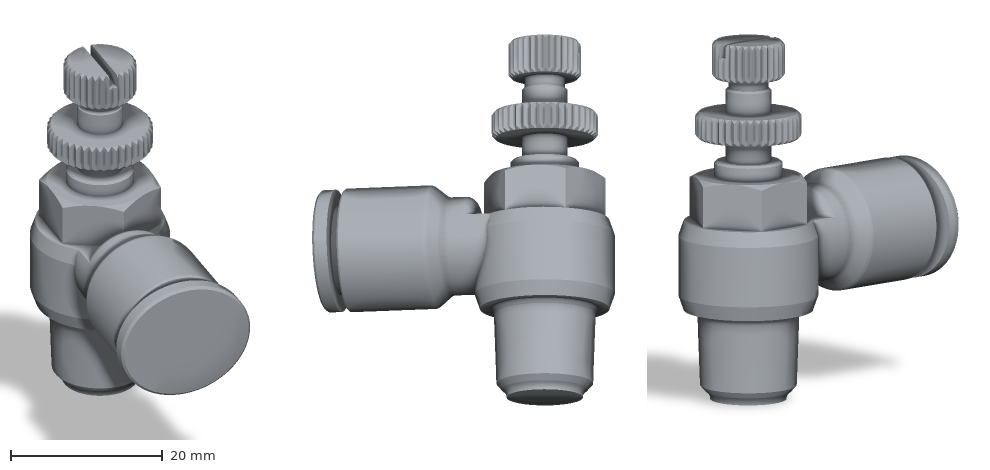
import cadquery as cq
import math

TIP_CONE_BOTTOM = 1.05
TIP_CONE_TOP = 1.85
THREAD_TOP = 11.3
BODY_BOTTOM = 11.95
BODY_TOP = 23.85
BODY_BEVEL_HEIGHT = 1.95
HEX_TOP = 29.9
COLLAR_TOP = 31.9
WHEEL_BOTTOM = 34.95
WHEEL_TOP = 38.45
STEM_TOP = 41.65
HEAD_BOTTOM = 43.0
HEAD_TOP = 48.0

TIP_RADIUS = 5.05
TIP_CONE_RADIUS = 5.65
THREAD_BOTTOM_RADIUS = 6.4
THREAD_TOP_RADIUS = 6.7
FLARE_RADIUS = 7.0
BODY_DIAMETER = 18.5
BODY_RADIUS = BODY_DIAMETER / 2
BODY_END_RADIUS = 8.55
HEX_SIDES = 6
HEX_ACROSS_FLATS = 14.05
HEX_BEVEL_ANGLE = 30
COLLAR_RADIUS = 4.5
STEM_RADIUS = 3.0
STEM_NECK_RADIUS = 2.65
EDGE_BEVEL = 0.3

HEAD_RADIUS = 4.8
HEAD_TEETH = 30
HEAD_TOOTH_HEIGHT = 0.55
WHEEL_RADIUS = 7.0
WHEEL_TEETH = 40
WHEEL_TOOTH_HEIGHT = 0.6
KNURL_BEVEL = 0.5
SLOT_WIDTH = 1.15
SLOT_DEPTH = 1.85

ARM_AXIS_Z = 20.85
ARM_NECK_RADIUS = 6.5
ARM_CONE_START = 12.6
ARM_CONE_END = 14.65
ARM_CONE_FILLET = 0.95
SOCKET_RADIUS = 8.15
SOCKET_END = 26.45
SOCKET_BEVEL = 0.25
SHOULDER_START = 8.8
SHOULDER_FILLET = 1.55

OVERALL_LENGTH = 38.8
SLEEVE_RADIUS = 5.85
RING_START = 27.55
RING_END = OVERALL_LENGTH - BODY_RADIUS
RING_HALF_WIDTH = 9.2
RING_HALF_HEIGHT = 8.0
RING_BEVEL = 0.35


def cylinder(radius, bottom, top):
    return cq.Workplane("XY").workplane(offset=bottom).circle(radius).extrude(top - bottom)


def arm_cylinder(radius, start, end):
    plane = cq.Workplane("YZ", origin=(start, 0, ARM_AXIS_Z))
    return plane.circle(radius).extrude(end - start)


def make_body():
    """Tapered thread with a flared tip and the bevelled body above it, turned about Z."""
    tip_flare = TIP_CONE_RADIUS - TIP_RADIUS
    arc_radius = (tip_flare**2 + TIP_CONE_BOTTOM**2) / (2 * tip_flare)
    half_sweep = math.asin(TIP_CONE_BOTTOM / arc_radius) / 2
    arc_middle = (
        TIP_RADIUS + arc_radius * (1 - math.cos(half_sweep)),
        arc_radius * math.sin(half_sweep),
    )
    outline = (
        cq.Workplane("XZ")
        .lineTo(TIP_RADIUS, 0)
        .threePointArc(arc_middle, (TIP_CONE_RADIUS, TIP_CONE_BOTTOM))
        .lineTo(THREAD_BOTTOM_RADIUS, TIP_CONE_TOP)
        .lineTo(THREAD_TOP_RADIUS, THREAD_TOP)
        .lineTo(FLARE_RADIUS, BODY_BOTTOM)
        .lineTo(BODY_END_RADIUS, BODY_BOTTOM)
        .lineTo(BODY_RADIUS, BODY_BOTTOM + BODY_BEVEL_HEIGHT)
        .lineTo(BODY_RADIUS, BODY_TOP - BODY_BEVEL_HEIGHT)
        .lineTo(BODY_END_RADIUS, BODY_TOP)
        .lineTo(0, BODY_TOP)
        .close()
    )
    return outline.revolve(360, (0, 0, 0), (0, 1, 0))


def make_hex():
    """Hexagon with corners on X, its top corners cut by a cone tangent to the flats."""
    inner_radius = HEX_ACROSS_FLATS / 2
    corner_radius = inner_radius / math.cos(math.pi / HEX_SIDES)
    base = cq.Workplane("XY").workplane(offset=BODY_TOP)
    prism = base.polygon(HEX_SIDES, 2 * corner_radius).extrude(HEX_TOP - BODY_TOP)
    drop = (corner_radius - inner_radius) * math.tan(math.radians(HEX_BEVEL_ANGLE))
    outline = [
        (0, BODY_TOP),
        (corner_radius, BODY_TOP),
        (corner_radius, HEX_TOP - drop),
        (inner_radius, HEX_TOP),
        (0, HEX_TOP),
    ]
    return prism.intersect(cq.Workplane("XZ").polyline(outline).close().revolve())


def make_stem():
    collar = cylinder(COLLAR_RADIUS, HEX_TOP, COLLAR_TOP).faces(">Z").chamfer(EDGE_BEVEL)
    stem = cylinder(STEM_RADIUS, HEX_TOP, STEM_TOP).faces(">Z").chamfer(EDGE_BEVEL)
    neck = cylinder(STEM_NECK_RADIUS, HEX_TOP, HEAD_BOTTOM)
    return collar.union(stem).union(neck)


def knurled_disc(tip_radius, tooth_count, tooth_height, bottom, top):
    """Disc with pointed teeth, one of them on +Y, and both rims bevelled."""
    root_radius = tip_radius - tooth_height
    pitch = 2 * math.pi / tooth_count
    points = []
    for index in range(tooth_count):
        tip_angle = math.pi / 2 + index * pitch
        root_angle = tip_angle + pitch / 2
        points.append((tip_radius * math.cos(tip_angle), tip_radius * math.sin(tip_angle)))
        points.append((root_radius * math.cos(root_angle), root_radius * math.sin(root_angle)))
    teeth = cq.Workplane("XY").workplane(offset=bottom).polyline(points).close().extrude(top - bottom)
    envelope = cylinder(tip_radius, bottom, top).faces("<Z or >Z").chamfer(KNURL_BEVEL)
    return teeth.intersect(envelope)


def make_head():
    """Knurled head with a screwdriver slot along X."""
    head = knurled_disc(HEAD_RADIUS, HEAD_TEETH, HEAD_TOOTH_HEIGHT, HEAD_BOTTOM, HEAD_TOP)
    slot = cq.Workplane("XY").box(2 * HEAD_RADIUS, SLOT_WIDTH, 2 * SLOT_DEPTH)
    return head.cut(slot.translate((0, 0, HEAD_TOP)))


def make_wheel():
    """Lock wheel, turned by half a tooth so that a valley lies on +Y."""
    wheel = knurled_disc(WHEEL_RADIUS, WHEEL_TEETH, WHEEL_TOOTH_HEIGHT, WHEEL_BOTTOM, WHEEL_TOP)
    return wheel.rotate((0, 0, 0), (0, 0, 1), 180 / WHEEL_TEETH)


def make_arm_neck():
    """Neck cut flat level with the body top, with a rounded shoulder standing above the flat."""
    neck = arm_cylinder(ARM_NECK_RADIUS, 0, ARM_CONE_START)
    above_body = cq.Workplane("XY").box(
        2 * ARM_CONE_START, 2 * BODY_RADIUS, BODY_RADIUS, centered=(True, True, False)
    )
    shoulder = arm_cylinder(ARM_NECK_RADIUS, SHOULDER_START, ARM_CONE_START)
    shoulder = shoulder.faces("<X").edges().fillet(SHOULDER_FILLET)
    return neck.cut(above_body.translate((0, 0, BODY_TOP))).union(shoulder)


def make_socket():
    """Tube socket and the cone that joins it to the neck, with both ends of the cone rounded."""
    neck_inside = ARM_CONE_START - ARM_CONE_FILLET
    bend = math.atan2(SOCKET_RADIUS - ARM_NECK_RADIUS, ARM_CONE_END - ARM_CONE_START)
    tangent = ARM_CONE_FILLET * math.tan(bend / 2)
    middle_in = ARM_CONE_FILLET * math.sin(bend / 2)
    middle_rise = ARM_CONE_FILLET * (1 - math.cos(bend / 2))
    along = tangent * math.cos(bend)
    across = tangent * math.sin(bend)
    outline = (
        cq.Workplane("XY")
        .moveTo(neck_inside, 0)
        .lineTo(neck_inside, ARM_NECK_RADIUS)
        .lineTo(ARM_CONE_START - tangent, ARM_NECK_RADIUS)
        .threePointArc(
            (ARM_CONE_START - tangent + middle_in, ARM_NECK_RADIUS + middle_rise),
            (ARM_CONE_START + along, ARM_NECK_RADIUS + across),
        )
        .lineTo(ARM_CONE_END - along, SOCKET_RADIUS - across)
        .threePointArc(
            (ARM_CONE_END + tangent - middle_in, SOCKET_RADIUS - middle_rise),
            (ARM_CONE_END + tangent, SOCKET_RADIUS),
        )
        .lineTo(SOCKET_END - SOCKET_BEVEL, SOCKET_RADIUS)
        .lineTo(SOCKET_END, SOCKET_RADIUS - SOCKET_BEVEL)
        .lineTo(SOCKET_END, 0)
        .close()
    )
    socket = outline.revolve(360, (0, 0, 0), (1, 0, 0))
    return socket.translate((0, 0, ARM_AXIS_Z))


def make_release_ring():
    """Round sleeve carrying an oval ring, wider along Y than along Z."""
    sleeve = arm_cylinder(SLEEVE_RADIUS, SOCKET_END, RING_START)
    plane = cq.Workplane("YZ", origin=(RING_START, 0, ARM_AXIS_Z))
    ring = plane.ellipse(RING_HALF_WIDTH, RING_HALF_HEIGHT).extrude(RING_END - RING_START)
    return sleeve.union(ring.faces(">X").chamfer(RING_BEVEL))


arm = make_arm_neck().union(make_socket()).union(make_release_ring())
adjuster = make_stem().union(make_wheel()).union(make_head())
result = make_body().union(arm).union(make_hex()).union(adjuster)